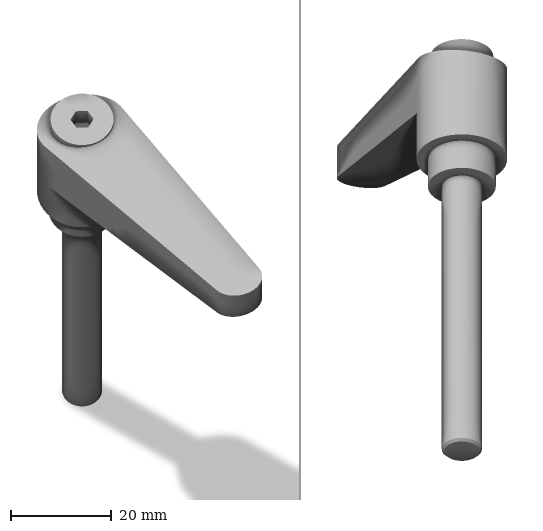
import cadquery as cq
import math


STUD_DIAMETER = 8.0
STUD_LENGTH = 63.0
STUD_CHAMFER = 0.5
COLLAR_DIAMETER = 13.5
COLLAR_HEIGHT = 6.5

HUB_RADIUS = 9.0
TIP_RADIUS = 5.0
LEVER_REACH = 62.0
TIP_TOP_Z = 45.66
TIP_THICKNESS = 7.2
TOP_SLOPE = math.tan(math.radians(15.2))
UNDERSIDE_SLOPE = math.tan(math.radians(20.0))

HEAD_DIAMETER = 12.5
HEAD_TOP_Z = 31.0
SOCKET_ACROSS_FLATS = 4.0
SOCKET_DEPTH = 4.0
SOCKET_CONE_ANGLE = 120.0

TIP_CENTRE_X = LEVER_REACH - TIP_RADIUS
SOCKET_ACROSS_CORNERS = SOCKET_ACROSS_FLATS / math.cos(math.radians(30.0))


def cylinder(diameter, bottom_z, top_z):
    """Round bar on the stud axis between two heights."""
    return cq.Workplane("XY").workplane(offset=bottom_z).circle(diameter / 2).extrude(top_z - bottom_z)


def top_z_at(x):
    """Height of the sloping top face."""
    return TIP_TOP_Z - (LEVER_REACH - x) * TOP_SLOPE


def underside_z_at(x):
    """Height of the sloping underside of the arm."""
    return TIP_TOP_Z - TIP_THICKNESS - (LEVER_REACH - x) * UNDERSIDE_SLOPE


def side_prism(points):
    """Polygon in the XZ plane, as wide in Y as the hub."""
    return cq.Workplane("XZ").polyline(points).close().extrude(HUB_RADIUS, both=True)


def make_stud():
    return cylinder(STUD_DIAMETER, -STUD_LENGTH, COLLAR_HEIGHT).faces("<Z").chamfer(STUD_CHAMFER)


def make_hub():
    """Cylinder whose top is cut by the sloping top face."""
    profile = side_prism([
        (-HUB_RADIUS, COLLAR_HEIGHT),
        (HUB_RADIUS, COLLAR_HEIGHT),
        (HUB_RADIUS, top_z_at(HUB_RADIUS)),
        (-HUB_RADIUS, top_z_at(-HUB_RADIUS)),
    ])
    return cylinder(2 * HUB_RADIUS, COLLAR_HEIGHT, TIP_TOP_Z).intersect(profile)


def make_arm():
    """Tapered arm: flat sides tangent to the hub and the round tip, sloping top and underside."""
    tangent_sine = (HUB_RADIUS - TIP_RADIUS) / TIP_CENTRE_X
    tangent_cosine = math.sqrt(1 - tangent_sine ** 2)
    hub_x = HUB_RADIUS * tangent_sine
    hub_y = HUB_RADIUS * tangent_cosine
    tip_x = TIP_CENTRE_X + TIP_RADIUS * tangent_sine
    tip_y = TIP_RADIUS * tangent_cosine
    plan = (
        cq.Workplane("XY")
        .moveTo(hub_x, -hub_y)
        .lineTo(tip_x, -tip_y)
        .threePointArc((LEVER_REACH, 0), (tip_x, tip_y))
        .lineTo(hub_x, hub_y)
        .close()
        .extrude(TIP_TOP_Z)
    )
    profile = side_prism([
        (hub_x, underside_z_at(hub_x)),
        (LEVER_REACH, underside_z_at(LEVER_REACH)),
        (LEVER_REACH, TIP_TOP_Z),
        (hub_x, top_z_at(hub_x)),
    ])
    return plan.intersect(profile)


def make_socket():
    """Hexagon socket, corners along X, ending in a cone."""
    cone_radius = SOCKET_ACROSS_CORNERS / 2
    cone_depth = cone_radius / math.tan(math.radians(SOCKET_CONE_ANGLE / 2))
    full_depth = SOCKET_DEPTH + cone_depth
    hexagon = (
        cq.Workplane("XY")
        .workplane(offset=HEAD_TOP_Z - full_depth)
        .polygon(6, SOCKET_ACROSS_CORNERS)
        .extrude(full_depth)
    )
    pointed_bar = (
        cq.Workplane("XZ")
        .moveTo(0, HEAD_TOP_Z - full_depth)
        .lineTo(cone_radius, HEAD_TOP_Z - SOCKET_DEPTH)
        .lineTo(cone_radius, HEAD_TOP_Z)
        .lineTo(0, HEAD_TOP_Z)
        .close()
        .revolve(360, (0, 0), (0, 1))
    )
    return hexagon.intersect(pointed_bar)


collar = cylinder(COLLAR_DIAMETER, 0, COLLAR_HEIGHT)
screw_head = cylinder(HEAD_DIAMETER, COLLAR_HEIGHT, HEAD_TOP_Z)
lever = make_hub().union(make_arm())

result = make_stud().union(collar).union(lever).union(screw_head).cut(make_socket())